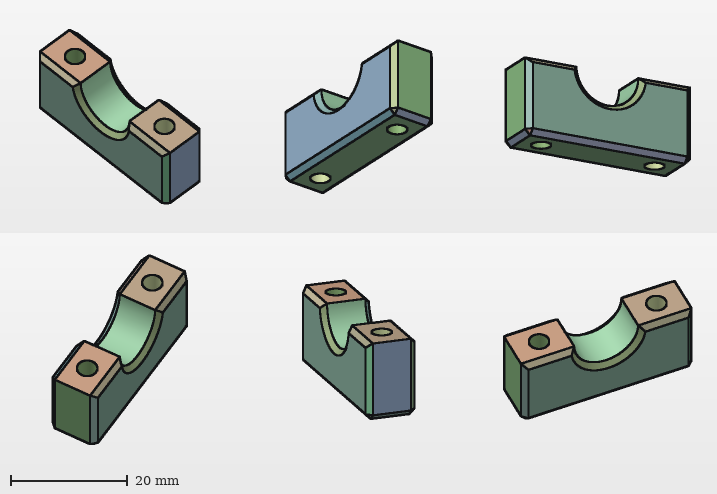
import cadquery as cq

length = 32.0
depth = 9.0
height = 14.0
chamfer = 1.0

saddle_diameter = 12.0

hole_diameter = 3.5
hole_spacing = 22.0


def make_block():
    """Block with a half-round saddle across its top, standing on Z = 0."""
    block = cq.Workplane("XY").box(length, depth, height, centered=(True, True, False))
    saddle = (
        cq.Workplane("XZ", origin=(0, depth / 2, height))
        .circle(saddle_diameter / 2)
        .extrude(depth)
    )
    return block.cut(saddle)


def break_edges(block):
    """Chamfer the outlines of the two saddle-profile faces and of the bottom face."""
    return block.faces("<Y or >Y or <Z").edges().chamfer(chamfer)


def drill_holes(block):
    """Drill one through hole on each side of the saddle."""
    hole_places = [(-hole_spacing / 2, 0), (hole_spacing / 2, 0)]
    holes = (
        cq.Workplane("XY")
        .pushPoints(hole_places)
        .circle(hole_diameter / 2)
        .extrude(height)
    )
    return block.cut(holes)


result = drill_holes(break_edges(make_block()))